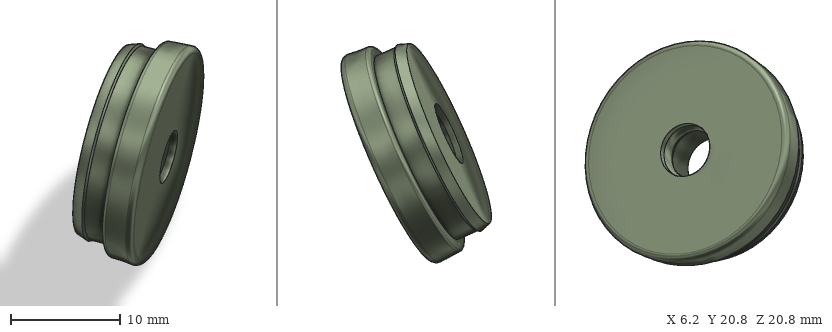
import cadquery as cq

TOTAL_WIDTH = 6.2
OUTER_FACE = -TOTAL_WIDTH / 2
RIM_FACE = TOTAL_WIDTH / 2
SHOULDER = OUTER_FACE + 3.2

BARB_LENGTH = 1.0
BARB_BACK_LENGTH = 0.2
BARB_TIP_RADIUS = 9.0
BARB_RADIUS = 9.35
NECK_RADIUS = 9.2

RIM_RADIUS = 10.45
RIM_FRONT_RADIUS = 10.23
RIM_FRONT_FILLET = 0.4
RIM_BACK_FILLET = 0.56

BORE_RADIUS = 2.5
COUNTERSINK = 0.5

RING_INNER_RADIUS = 2.25
RING_SECTION_RADIUS = 0.9
RING_CENTRE_RADIUS = RING_INNER_RADIUS + RING_SECTION_RADIUS
GROOVE_START = OUTER_FACE + 3.7
GROOVE_WIDTH = 2 * RING_SECTION_RADIUS
GROOVE_RADIUS = RING_CENTRE_RADIUS + RING_SECTION_RADIUS
RING_X = GROOVE_START + RING_SECTION_RADIUS


def revolve_about_x(profile):
    """Turn a closed (x, radius) outline a full circle about the X axis."""
    return profile.revolve(360, (0, 0, 0), (1, 0, 0))


def rim_edge(body, face):
    """Outer edge of the rim on the given annular face."""
    return body.faces(face).edges(cq.selectors.RadiusNthSelector(-1))


def make_rim():
    """Tapered rim disc, solid in the middle, with both edges rounded."""
    outline = (
        cq.Workplane("XZ")
        .moveTo(SHOULDER, 0)
        .lineTo(SHOULDER, RIM_FRONT_RADIUS)
        .lineTo(RIM_FACE, RIM_RADIUS)
        .lineTo(RIM_FACE, 0)
        .close()
    )
    rim = revolve_about_x(outline)
    rim = rim_edge(rim, "<X").fillet(RIM_FRONT_FILLET)
    return rim_edge(rim, ">X").fillet(RIM_BACK_FILLET)


def make_plug():
    """Barbed plug that ends at the rim shoulder, solid in the middle."""
    barb_crest = OUTER_FACE + BARB_LENGTH
    outline = (
        cq.Workplane("XZ")
        .moveTo(OUTER_FACE, 0)
        .lineTo(OUTER_FACE, BARB_TIP_RADIUS)
        .lineTo(barb_crest, BARB_RADIUS)
        .lineTo(barb_crest + BARB_BACK_LENGTH, NECK_RADIUS)
        .lineTo(SHOULDER, NECK_RADIUS)
        .lineTo(SHOULDER, 0)
        .close()
    )
    return revolve_about_x(outline)


def make_bore():
    """Space cut for the countersink, the bore and the O-ring groove."""
    groove_end = GROOVE_START + GROOVE_WIDTH
    outline = (
        cq.Workplane("XZ")
        .moveTo(OUTER_FACE, 0)
        .lineTo(OUTER_FACE, BORE_RADIUS + COUNTERSINK)
        .lineTo(OUTER_FACE + COUNTERSINK, BORE_RADIUS)
        .lineTo(GROOVE_START, BORE_RADIUS)
        .lineTo(GROOVE_START, GROOVE_RADIUS)
        .lineTo(groove_end, GROOVE_RADIUS)
        .lineTo(groove_end, BORE_RADIUS)
        .lineTo(RIM_FACE, BORE_RADIUS)
        .lineTo(RIM_FACE, 0)
        .close()
    )
    return revolve_about_x(outline)


def make_housing():
    """Plug and rim in one piece, bored and grooved."""
    return make_plug().union(make_rim()).cut(make_bore())


def make_o_ring():
    """Round-section ring seated in the groove."""
    section = cq.Workplane("XZ").center(RING_X, RING_CENTRE_RADIUS).circle(RING_SECTION_RADIUS)
    return section.revolve(360, (0, -RING_CENTRE_RADIUS, 0), (1, -RING_CENTRE_RADIUS, 0))


housing = make_housing()
o_ring = make_o_ring()

result = cq.Compound.makeCompound([housing.val(), o_ring.val()])